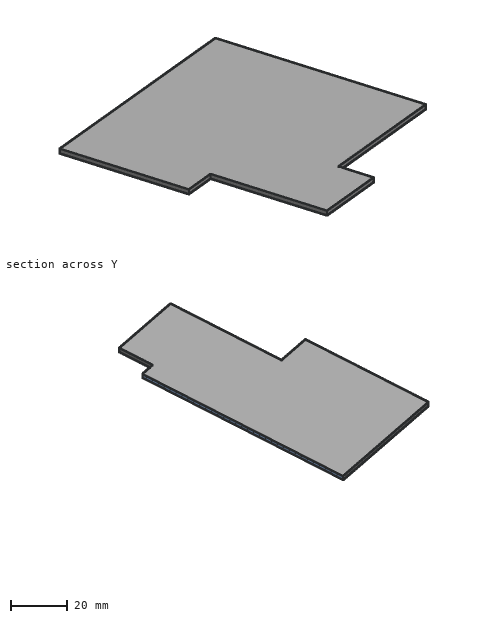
import cadquery as cq

length = 105.0
width = 100.0
thickness = 2.0

tab_projection = 15.0
tab_width = 30.0

foot_length = 55.2
notch_depth = 14.0

body_length = length - tab_projection
tab_top = notch_depth + tab_width

outline = [
    (0, 0),
    (foot_length, 0),
    (foot_length, notch_depth),
    (length, notch_depth),
    (length, tab_top),
    (body_length, tab_top),
    (body_length, width),
    (0, width),
]

result = cq.Workplane("XY").polyline(outline).close().extrude(thickness)